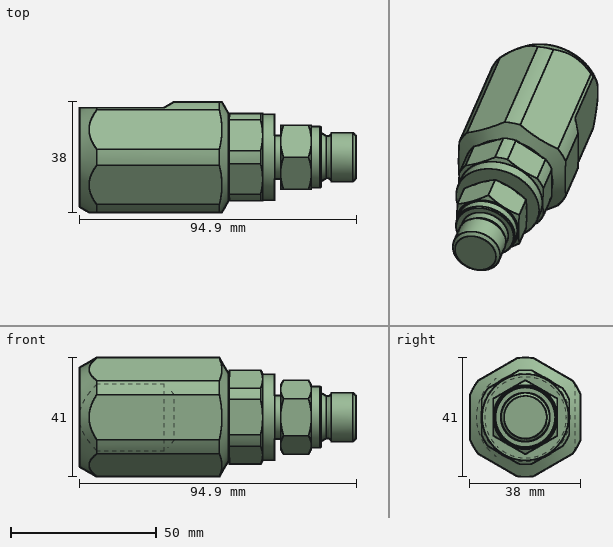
import cadquery as cq
import math

BEVEL = math.radians(30)

sleeve_end = 51.1
sleeve_flats = 38
sleeve_corner_radius = 20.5
sleeve_mouth_radius = 17.1
sleeve_shoulder_radius = 15.2
sleeve_edge_fillet = 0.5
relief_plane = 17.0
relief_length = 28.9

rear_neck_radius = 13.95
rear_nut_start = 51.4
rear_nut_end = 62.9
rear_nut_flats = 30.0
rear_nut_corner_radius = 16.18
rear_collar_end = 66.9
rear_collar_radius = 14.8

front_neck_radius = 7.5
front_nut_start = 69.0
front_nut_end = 79.5
front_nut_flats = 22.0
front_collar_end = 82.9
front_collar_radius = 10.5
front_collar_bevel_length = 0.6

total_length = 94.9
thread_start = 86.4
thread_radius = 8.4
thread_chamfer = 1.1
groove_radius = 7.3
groove_runout_start = 84.65


def revolve_about_x(profile):
    """Turn a closed (x, radius) profile around the X axis."""
    return profile.close().revolve(360, (0, 0, 0), (1, 0, 0))


def turned(points):
    """Turned solid below a line of (x, radius) points, closed down to the axis."""
    first_x = points[0][0]
    last_x = points[-1][0]
    return revolve_about_x(cq.Workplane("XY").polyline([(first_x, 0), *points, (last_x, 0)]))


def rod(start, end, radius):
    return turned([(start, radius), (end, radius)])


def hex_bar(start, end, flats):
    """Hexagonal bar along X with corners up and down and flats facing +Y and -Y."""
    across_corners = flats / math.cos(BEVEL)
    bar = cq.Workplane("YZ").workplane(offset=start).polygon(6, across_corners).extrude(end - start)
    return bar.rotate((0, 0, 0), (1, 0, 0), 90)


def steep_bevel(outer_radius, inner_radius):
    """Axial length of a bevel that lies 30 degrees off the end face."""
    return (outer_radius - inner_radius) * math.tan(BEVEL)


def make_sleeve():
    mouth_bevel = (sleeve_corner_radius - sleeve_mouth_radius) / math.tan(BEVEL)
    shoulder_bevel = steep_bevel(sleeve_corner_radius, sleeve_shoulder_radius)
    envelope = turned([
        (0, sleeve_mouth_radius),
        (mouth_bevel, sleeve_corner_radius),
        (sleeve_end - shoulder_bevel, sleeve_corner_radius),
        (sleeve_end, sleeve_shoulder_radius),
    ])
    envelope = envelope.faces("<X").edges().fillet(sleeve_edge_fillet)
    sleeve = envelope.intersect(hex_bar(0, sleeve_end, sleeve_flats))
    return sleeve.cut(make_relief())


def make_relief():
    """Cutter for the flat on the +Y side, which climbs back to the hexagon at 30 degrees."""
    clear = sleeve_corner_radius
    ramp_run = (clear - relief_plane) / math.tan(BEVEL)
    outline = [
        (0, relief_plane),
        (relief_length, relief_plane),
        (relief_length + ramp_run, clear),
        (0, clear),
    ]
    return cq.Workplane("XY").polyline(outline).close().extrude(clear, both=True)


def make_rear_nut():
    bevel = steep_bevel(rear_nut_corner_radius, rear_collar_radius)
    envelope = turned([
        (rear_nut_start, rear_nut_corner_radius),
        (rear_nut_end - bevel, rear_nut_corner_radius),
        (rear_nut_end, rear_collar_radius),
    ])
    nut = envelope.intersect(hex_bar(rear_nut_start, rear_nut_end, rear_nut_flats))
    return nut.union(rod(rear_nut_end, rear_collar_end, rear_collar_radius))


def make_front_nut():
    corner_radius = front_nut_flats / 2 / math.cos(BEVEL)
    face_radius = front_nut_flats / 2
    bevel = steep_bevel(corner_radius, face_radius)
    envelope = turned([
        (front_nut_start, face_radius),
        (front_nut_start + bevel, corner_radius),
        (front_nut_end - bevel, corner_radius),
        (front_nut_end, face_radius),
    ])
    nut = envelope.intersect(hex_bar(front_nut_start, front_nut_end, front_nut_flats))
    collar_bevel_depth = front_collar_bevel_length * math.tan(BEVEL)
    collar = turned([
        (front_nut_end, front_collar_radius),
        (front_collar_end - front_collar_bevel_length, front_collar_radius),
        (front_collar_end, front_collar_radius - collar_bevel_depth),
    ])
    return nut.union(collar)


def make_threaded_end():
    cone_radius = groove_radius + (groove_runout_start - front_collar_end) * math.tan(BEVEL)
    runout = thread_radius - groove_radius
    arc_mid = (
        thread_start - runout + runout * math.sin(math.pi / 4),
        thread_radius - runout * math.cos(math.pi / 4),
    )
    profile = (
        cq.Workplane("XY")
        .moveTo(front_collar_end, 0)
        .lineTo(front_collar_end, cone_radius)
        .lineTo(groove_runout_start, groove_radius)
        .lineTo(thread_start - runout, groove_radius)
        .threePointArc(arc_mid, (thread_start, thread_radius))
        .lineTo(total_length - thread_chamfer, thread_radius)
        .lineTo(total_length, thread_radius - thread_chamfer)
        .lineTo(total_length, 0)
    )
    return revolve_about_x(profile)


result = (
    make_sleeve()
    .union(rod(sleeve_end, rear_nut_start, rear_neck_radius))
    .union(make_rear_nut())
    .union(rod(rear_collar_end, front_nut_start, front_neck_radius))
    .union(make_front_nut())
    .union(make_threaded_end())
)